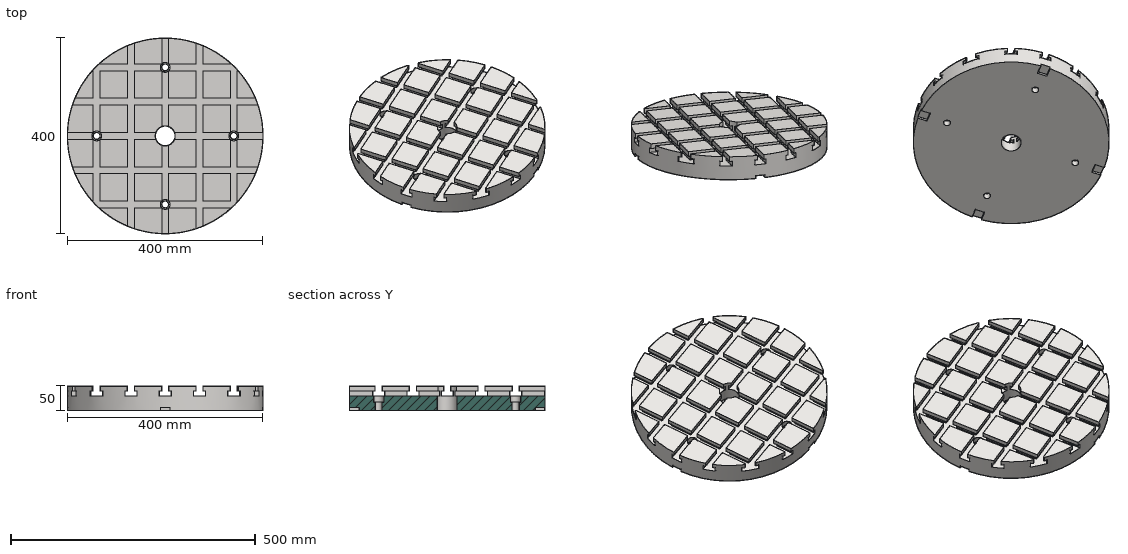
import cadquery as cq

plate_diameter = 400.0
plate_height = 50.0

slot_pitch = 70.0
slots_each_side = 2
neck_width = 14.0
neck_depth = 10.0
tee_width = 24.0
slot_depth = 20.0
slot_floor = plate_height - slot_depth

bore_diameter = 40.0
mounting_radius = slots_each_side * slot_pitch
hole_diameter = 13.5
counterbore_diameter = 20.0
counterbore_depth = 13.0

notch_width = 20.0
notch_height = 6.0
notch_length = 20.0

quarter_turns = [90 * turn for turn in range(4)]
z_axis = ((0, 0, 0), (0, 0, 1))


def t_slot(offset):
    """Slot along X at Y = offset: a wide foot below a narrow neck, open at the top."""
    foot = (
        cq.Workplane("XY", origin=(0, offset, slot_floor))
        .box(plate_diameter, tee_width, slot_depth - neck_depth, centered=(True, True, False))
    )
    neck = (
        cq.Workplane("XY", origin=(0, offset, slot_floor))
        .box(plate_diameter, neck_width, slot_depth, centered=(True, True, False))
    )
    return foot.union(neck)


def rim_notch():
    """Shallow rectangular notch entering the bottom edge at the +X end."""
    return (
        cq.Workplane("XY", origin=(plate_diameter / 2 - notch_length, 0, 0))
        .box(notch_length, notch_width, notch_height, centered=(False, True, False))
    )


result = cq.Workplane("XY").circle(plate_diameter / 2).circle(bore_diameter / 2).extrude(plate_height)

for index in range(-slots_each_side, slots_each_side + 1):
    slot = t_slot(index * slot_pitch)
    result = result.cut(slot)
    result = result.cut(slot.rotate(*z_axis, 90))

result = (
    result.copyWorkplane(cq.Workplane("XY", origin=(0, 0, slot_floor)))
    .polarArray(mounting_radius, 0, 360, len(quarter_turns))
    .cboreHole(hole_diameter, counterbore_diameter, counterbore_depth)
)

for angle in quarter_turns:
    result = result.cut(rim_notch().rotate(*z_axis, angle))